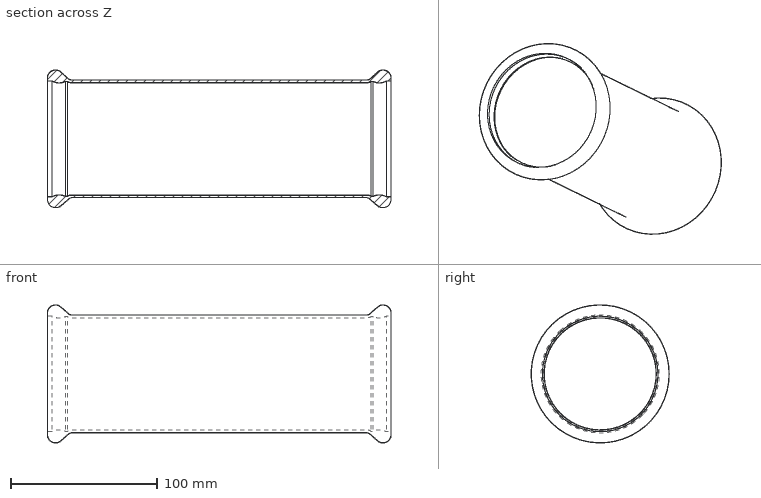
import cadquery as cq
import math

length = 235.0
bead_diameter = 94.4
tube_diameter = 80.7
bore_diameter = 76.7
mouth_diameter = 79.0
bead_radius = 5.7
neck_position = 16.4
bead_arc_end = 7.8
mouth_depth = 3.3
seal_crest_diameter = 76.4
seal_radius = 9.4
land_diameter = 78.4
bore_lead_in_radius = 4.4
flank_rim_pull = 2.5
flank_tube_pull = 2.4

bead_top = bead_diameter / 2
tube_outer = tube_diameter / 2
bore = bore_diameter / 2
mouth = mouth_diameter / 2
seal_crest = seal_crest_diameter / 2
land = land_diameter / 2
bead_center_r = bead_top - bead_radius
bead_end_angle = math.asin((bead_arc_end - bead_radius) / bead_radius)


def half_chord(radius, height):
    """Half the width of a circle cut at the given height above its lowest point."""
    return math.sqrt(height * (2 * radius - height))


seal_middle = mouth_depth + half_chord(seal_radius, mouth - seal_crest)
seal_end = seal_middle + half_chord(seal_radius, land - seal_crest)

lead_in_angle = math.acos(1 - (land - bore) / bore_lead_in_radius)


def on_bead(angle):
    """Point on the rim arc; the angle leans from straight out towards the tube."""
    return (bead_radius + bead_radius * math.sin(angle), bead_center_r + bead_radius * math.cos(angle))


def on_lead_in(angle):
    """Point on the lead-in arc; the angle is measured back from the bore towards the mouth."""
    x = neck_position - bore_lead_in_radius * math.sin(angle)
    r = bore + bore_lead_in_radius * (1 - math.cos(angle))
    return (x, r)


def revolve_about_x(profile):
    return profile.close().revolve(360, (0, 0, 0), (1, 0, 0))


def make_tube():
    profile = (
        cq.Workplane("XY")
        .moveTo(neck_position, bore)
        .lineTo(length - neck_position, bore)
        .lineTo(length - neck_position, tube_outer)
        .lineTo(neck_position, tube_outer)
    )
    return revolve_about_x(profile)


def make_bead():
    """End bead: flat face, rounded rim, S-shaped flank, and a rounded sealing lip in the mouth."""
    rim_x, rim_r = on_bead(bead_end_angle)
    flank = [
        (rim_x, rim_r),
        (rim_x + flank_rim_pull * math.cos(bead_end_angle), rim_r - flank_rim_pull * math.sin(bead_end_angle)),
        (neck_position - flank_tube_pull, tube_outer),
        (neck_position, tube_outer),
    ]
    profile = (
        cq.Workplane("XY")
        .moveTo(0, mouth)
        .lineTo(0, bead_center_r)
        .threePointArc(on_bead(-math.pi / 4), (rim_x, rim_r))
        .bezier(flank)
        .lineTo(neck_position, bore)
        .threePointArc(on_lead_in(lead_in_angle / 2), on_lead_in(lead_in_angle))
        .lineTo(seal_end, land)
        .threePointArc((seal_middle, seal_crest), (mouth_depth, mouth))
    )
    return revolve_about_x(profile)


bead = make_bead()
opposite_bead = bead.mirror("YZ").translate((length, 0, 0))
sleeve = make_tube().union(bead).union(opposite_bead)
result = sleeve.translate((-length / 2, 0, 0))